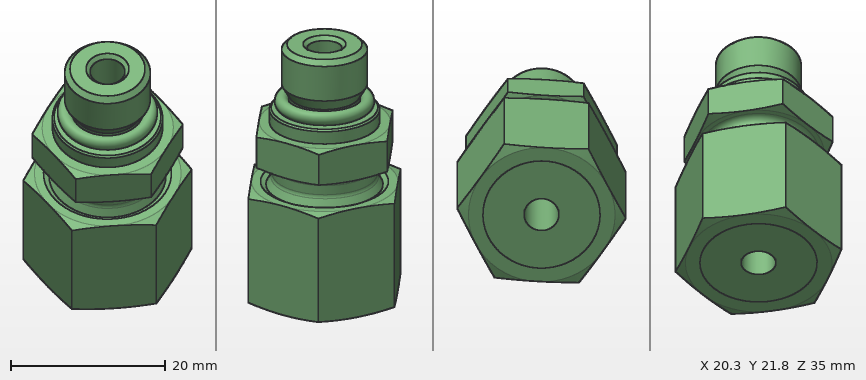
import cadquery as cq
import math

NUT_TOP = 15.5
HEX_BOTTOM = 19.0
HEX_HEIGHT = 5.0
HEX_TOP = HEX_BOTTOM + HEX_HEIGHT
COLLAR_HEIGHT = 2.0
COLLAR_TOP = HEX_TOP + COLLAR_HEIGHT
STUD_BOTTOM = 29.4
STUD_TOP = 35

BORE_DIA = 4.5
BORE_MOUTH_DIA = 5.55
BORE_MOUTH_ANGLE = math.radians(45)
STUD_DIA = 11.13
GROOVE_DIA = 9.25
COLLAR_DIA = 14.3
NECK_DIA = 13.7
THREAD_DIA = 15.2

STUD_CHAMFER = 0.7
COLLAR_CHAMFER = 0.25
NECK_FILLET = 1.0
RUNOUT_ANGLE = math.radians(30)
RUNOUT_FILLET_START = 16.7

ORING_SECTION_DIA = 1.85

HEX_TURN = 7.5
HEX_CHAMFER_ANGLE = math.radians(15)
BODY_ACROSS_FLATS = 17.0
NUT_ACROSS_FLATS = 19.0
NUT_MOUTH_DIA = 16.6
NUT_MOUTH_ANGLE = math.radians(60)


def chamfered_hexagon(across_flats, bottom, top):
    """Hexagonal prism whose corners are turned off by a flat cone at both ends."""
    corner_radius = across_flats / math.sqrt(3)
    flat_radius = across_flats / 2
    drop = (corner_radius - flat_radius) * math.tan(HEX_CHAMFER_ANGLE)
    prism = (
        cq.Workplane("XY", origin=(0, 0, bottom))
        .polygon(6, 2 * corner_radius)
        .extrude(top - bottom)
        .rotate((0, 0, 0), (0, 0, 1), 90 + HEX_TURN)
    )
    envelope = (
        cq.Workplane("XZ")
        .moveTo(0, bottom)
        .lineTo(flat_radius, bottom)
        .lineTo(corner_radius, bottom + drop)
        .lineTo(corner_radius, top - drop)
        .lineTo(flat_radius, top)
        .lineTo(0, top)
        .close()
        .revolve(360, (0, 0), (0, 1))
    )
    return prism.intersect(envelope)


def body_turned_profile():
    """Revolved shape of the fitting body: threaded end, neck, collar, groove and stud."""
    neck_radius = NECK_DIA / 2
    thread_radius = THREAD_DIA / 2
    groove_radius = GROOVE_DIA / 2
    stud_radius = STUD_DIA / 2
    collar_radius = COLLAR_DIA / 2

    def runout_arc_point(angle):
        return (
            neck_radius + NECK_FILLET * (1 - math.cos(angle)),
            RUNOUT_FILLET_START - NECK_FILLET * math.sin(angle),
        )

    arc_end = runout_arc_point(RUNOUT_ANGLE)
    thread_top = arc_end[1] - (thread_radius - arc_end[0]) / math.tan(RUNOUT_ANGLE)

    fillet_offset = NECK_FILLET * (1 - math.sqrt(0.5))
    groove_top = STUD_BOTTOM - (stud_radius - groove_radius) / math.tan(RUNOUT_ANGLE)

    return (
        cq.Workplane("XZ")
        .moveTo(0, 0)
        .lineTo(thread_radius, 0)
        .lineTo(thread_radius, thread_top)
        .lineTo(*arc_end)
        .threePointArc(runout_arc_point(RUNOUT_ANGLE / 2), (neck_radius, RUNOUT_FILLET_START))
        .lineTo(neck_radius, HEX_BOTTOM - NECK_FILLET)
        .threePointArc(
            (neck_radius + fillet_offset, HEX_BOTTOM - fillet_offset),
            (neck_radius + NECK_FILLET, HEX_BOTTOM),
        )
        .lineTo(collar_radius, HEX_TOP)
        .lineTo(collar_radius, COLLAR_TOP - COLLAR_CHAMFER)
        .lineTo(collar_radius - COLLAR_CHAMFER, COLLAR_TOP)
        .lineTo(groove_radius, COLLAR_TOP)
        .lineTo(groove_radius, groove_top)
        .lineTo(stud_radius, STUD_BOTTOM)
        .lineTo(stud_radius, STUD_TOP - STUD_CHAMFER)
        .lineTo(stud_radius - STUD_CHAMFER, STUD_TOP)
        .lineTo(0, STUD_TOP)
        .close()
        .revolve(360, (0, 0), (0, 1))
    )


def flared_bore(bore_dia, mouth_dia, mouth_angle, top):
    """Cutter for a bore from Z = 0 up to `top`, opened by a cone at its upper end."""
    bore_radius = bore_dia / 2
    mouth_radius = mouth_dia / 2
    mouth_depth = (mouth_radius - bore_radius) / math.tan(mouth_angle)
    return (
        cq.Workplane("XZ")
        .lineTo(bore_radius, 0)
        .lineTo(bore_radius, top - mouth_depth)
        .lineTo(mouth_radius, top)
        .lineTo(0, top)
        .close()
        .revolve(360, (0, 0), (0, 1))
    )


def make_fitting_body():
    """Turned body with its hexagon, bored through from end to end."""
    hexagon = chamfered_hexagon(BODY_ACROSS_FLATS, HEX_BOTTOM, HEX_TOP)
    bore = flared_bore(BORE_DIA, BORE_MOUTH_DIA, BORE_MOUTH_ANGLE, STUD_TOP)
    return body_turned_profile().union(hexagon).cut(bore)


def make_oring():
    """Seal ring that rests on the collar and hugs the groove."""
    section_radius = ORING_SECTION_DIA / 2
    ring_radius = GROOVE_DIA / 2 + section_radius
    return (
        cq.Workplane("XZ")
        .moveTo(ring_radius, COLLAR_TOP + section_radius)
        .circle(section_radius)
        .revolve(360, (0, 0), (0, 1))
    )


def make_nut():
    """Union nut bored to the thread diameter, with a countersunk upper mouth."""
    bore = flared_bore(THREAD_DIA, NUT_MOUTH_DIA, NUT_MOUTH_ANGLE, NUT_TOP)
    return chamfered_hexagon(NUT_ACROSS_FLATS, 0, NUT_TOP).cut(bore)


fitting_body = make_fitting_body()
oring = make_oring()
nut = make_nut()

result = cq.Compound.makeCompound([fitting_body.val(), oring.val(), nut.val()])